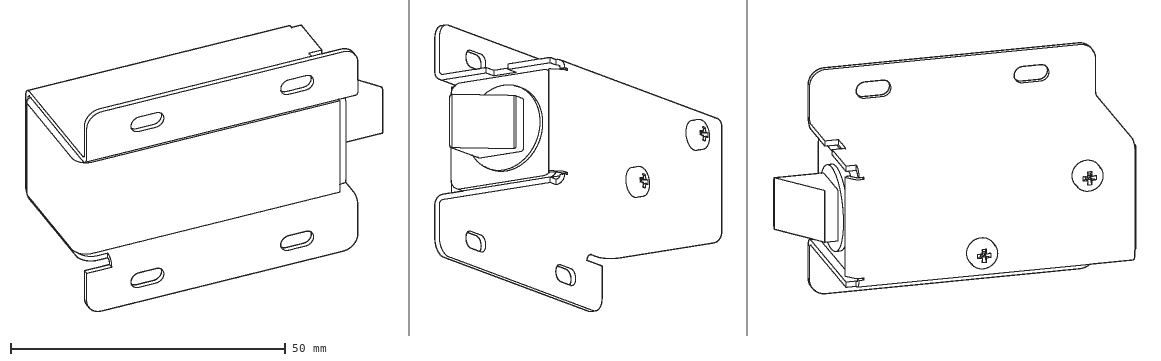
import cadquery as cq
import math


sheet = 1.0
bend_inner = 0.8
bend_outer = bend_inner + sheet
bracket_length = 54.25
bracket_width = 27.05
channel_height = 23.5
flange_span = 43.5
flange_corner = 3.0
channel_half = channel_height / 2
flange_half = flange_span / 2
flange_face = bracket_width - sheet

slot_length = 6.55
slot_width = 3.15
slot_from_end = 12.15
slot_from_edge = 4.75

notch_start = 11.05
notch_width = 4.8
notch_depth = 2.6

rear_relief_length = 5.0
rear_relief_drop = 0.95
rear_corner = 3.0

lip_angle = math.radians(50)
lip_bend_outer = 1.4
lip_bend_inner = lip_bend_outer - sheet
lip_flat = 1.9
lip_height = 19.15
lip_start = 52.1
corner_cut_width = 1.9
corner_cut_start = bracket_length - 1.9
lip_relief_start = 51.4

block_width = 24.2
block_height = 19.9
block_rear = -0.9
block_front = 51.4
block_wall_radius = 1.85
block_open_radius = 2.8

plate_inset = 1.0
plate_front = 53.15
plate_corner = 2.0

collar_radius = 8.0
collar_x = 12.2
collar_front = 54.05
bolt_x = 7.85
bolt_size = 10.0
bolt_edge = 0.5
bolt_tip = bracket_length + 9.1
bolt_shoulder = bracket_length + 2.25

head_radius = 2.75
head_side = 1.3
head_shoulder = 1.7
head_height = 2.3
dome_radius = 2.6
recess_reach = 1.4
recess_root = 0.5
recess_depth = 1.0
recess_point_radius = 0.6
recess_point_height = 0.8
recess_width = 0.8
screw_places = [(9.2, 6.3), (29.2, -6.75)]


def box(x_range, y_range, z_range):
    """Box between two limits along each axis."""
    size = [high - low for low, high in (x_range, y_range, z_range)]
    return cq.Workplane("XY").box(*size, centered=False).translate((x_range[0], y_range[0], z_range[0]))


def make_half_channel():
    """Upper half of the bent sheet: wall, plate and flange."""
    bend_end = flange_face - bend_inner
    wall_end = channel_half - bend_outer
    plate_inner = channel_half - sheet
    flange_start = channel_half + bend_inner
    half = (
        cq.Workplane("XZ")
        .lineTo(0, wall_end)
        .radiusArc((bend_outer, channel_half), bend_outer)
        .lineTo(bend_end, channel_half)
        .radiusArc((flange_face, flange_start), -bend_inner)
        .lineTo(flange_face, flange_half)
        .lineTo(bracket_width, flange_half)
        .lineTo(bracket_width, flange_start)
        .radiusArc((bend_end, plate_inner), bend_outer)
        .lineTo(bend_outer, plate_inner)
        .radiusArc((sheet, wall_end), -bend_inner)
        .lineTo(sheet, 0)
        .close()
        .extrude(-bracket_length)
    )
    return half.faces(">Z").edges("|X").fillet(flange_corner)


def make_slots():
    """Cutters for the mounting slots, two in each flange."""
    slot_y = bracket_length / 2 - slot_from_end
    slot_z = flange_half - slot_from_edge
    return (
        cq.Workplane("YZ", origin=(flange_face, bracket_length / 2, 0))
        .rect(2 * slot_y, 2 * slot_z, forConstruction=True)
        .vertices()
        .slot2D(slot_length, slot_width)
        .extrude(sheet)
    )


def make_lip():
    """Lip that bends inward from the front of the wall."""
    across, along = math.sin(lip_angle), math.cos(lip_angle)

    def on_bend(radius, angle):
        return (lip_bend_outer - radius * math.cos(angle), lip_start + radius * math.sin(angle))

    outer_end = on_bend(lip_bend_outer, lip_angle)
    inner_end = on_bend(lip_bend_inner, lip_angle)
    run = (lip_flat * across, lip_flat * along)
    return (
        cq.Workplane("XY", origin=(0, 0, -lip_height / 2))
        .moveTo(0, lip_start)
        .threePointArc(on_bend(lip_bend_outer, lip_angle / 2), outer_end)
        .lineTo(outer_end[0] + run[0], outer_end[1] + run[1])
        .lineTo(inner_end[0] + run[0], inner_end[1] + run[1])
        .lineTo(*inner_end)
        .threePointArc(on_bend(lip_bend_inner, lip_angle / 2), (sheet, lip_start))
        .close()
        .extrude(lip_height)
    )


def cut_front_corners(bracket):
    """Clear the front ends of the wall bends and free the lip on both sides."""
    lip_half = lip_height / 2
    wall_half = channel_half - bend_outer
    ends = (corner_cut_start, bracket_length)
    bracket = bracket.cut(box((0, corner_cut_width), ends, (-channel_half, channel_half)))
    bracket = bracket.cut(box((0, sheet), (lip_relief_start, bracket_length), (-wall_half, wall_half)))
    return bracket.union(box((0, sheet), (lip_relief_start, lip_start), (-lip_half, lip_half)))


def cut_rear_relief(bracket):
    """Remove the rear of the lower flange bend and round the plate corner beside it."""
    plate_edge = flange_face - bend_inner
    bottom = -channel_half - rear_relief_drop
    bracket = bracket.cut(box((plate_edge, bracket_width), (0, rear_relief_length), (bottom, 0)))
    corner = cq.selectors.BoxSelector(
        (plate_edge - sheet, -sheet, -channel_half - sheet),
        (plate_edge + sheet, sheet, -channel_half + 2 * sheet),
    )
    return bracket.edges("|Z").edges(corner).fillet(rear_corner)


def make_bracket():
    half = make_half_channel()
    bracket = half.union(half.mirror("XY"))
    bracket = bracket.cut(make_slots())
    notch_range = (notch_start, notch_start + notch_width)
    bracket = bracket.cut(box(notch_range, (bracket_length - notch_depth, bracket_length), (0, channel_half)))
    bracket = cut_rear_relief(bracket)
    return cut_front_corners(bracket).union(make_lip())


def make_block():
    """Solenoid block, rounded at the two upright edges of its rear end."""
    half = block_height / 2
    block = box((sheet, sheet + block_width), (block_rear, block_front), (-half, half))
    block = block.edges("|Z and <X and <Y").fillet(block_wall_radius)
    return block.edges("|Z and >X and <Y").fillet(block_open_radius)


def make_front_plate():
    """Plate with rounded corners on the front of the block."""
    half = block_height / 2
    left = sheet + plate_inset
    right = sheet + block_width - plate_inset
    plate = box((left, right), (block_front, plate_front), (-half, half))
    return plate.edges("|Y").fillet(plate_corner)


def make_collar():
    """Round collar between the front plate and the bolt."""
    return (
        cq.Workplane("XZ", origin=(collar_x, plate_front, 0))
        .circle(collar_radius)
        .extrude(plate_front - collar_front)
    )


def make_bolt():
    """Square latch bolt with rounded long edges and a slanted nose."""
    half = bolt_size / 2
    bolt_right = bolt_x + bolt_size
    bolt = box((bolt_x, bolt_right), (collar_front, bolt_tip), (-half, half))
    bolt = bolt.edges("|Y").fillet(bolt_edge)
    slant = (
        cq.Workplane("XY", origin=(0, 0, -half))
        .moveTo(bolt_x, bolt_shoulder)
        .lineTo(bolt_x + bolt_edge, bolt_shoulder)
        .lineTo(bolt_right - bolt_edge, bolt_tip)
        .lineTo(bolt_x, bolt_tip)
        .close()
        .extrude(bolt_size)
    )
    return bolt.cut(slant)


def make_recess():
    """Cross recess cutter: two tapered blades and a pointed centre, opening along +Z."""
    floor = head_height - recess_depth
    blade = (
        cq.Workplane("XZ")
        .moveTo(-recess_root, floor)
        .lineTo(recess_root, floor)
        .lineTo(recess_reach, head_height)
        .lineTo(-recess_reach, head_height)
        .close()
        .extrude(recess_width / 2, both=True)
    )
    cone = cq.Solid.makeCone(0, recess_point_radius, recess_point_height)
    point = cq.Workplane(cone).translate((0, 0, floor - recess_point_height / 2))
    return blade.union(blade.rotate((0, 0, 0), (0, 0, 1), 90)).union(point)


def make_screw(y, z):
    """Domed screw head standing on the outer face of the wall."""
    drop = head_height - head_shoulder
    sphere = (dome_radius**2 + drop**2) / (2 * drop)
    rim = head_shoulder - head_side
    head = (
        cq.Workplane("XZ")
        .lineTo(head_radius, 0)
        .lineTo(head_radius, head_side)
        .radiusArc((dome_radius, head_shoulder), -rim)
        .radiusArc((0, head_height), -sphere)
        .close()
        .revolve(360, (0, 0), (0, 1))
    )
    screw = head.cut(make_recess())
    return screw.rotate((0, 0, 0), (0, 1, 0), -90).translate((0, y, z))


bracket = make_bracket()
block = make_block()
front_plate = make_front_plate()
collar = make_collar()
bolt = make_bolt()
screws = [make_screw(y, z) for y, z in screw_places]

result = cq.Compound.makeCompound(
    [
        bracket.val(),
        block.val(),
        front_plate.val(),
        collar.val(),
        bolt.val(),
        *[screw.val() for screw in screws],
    ]
)